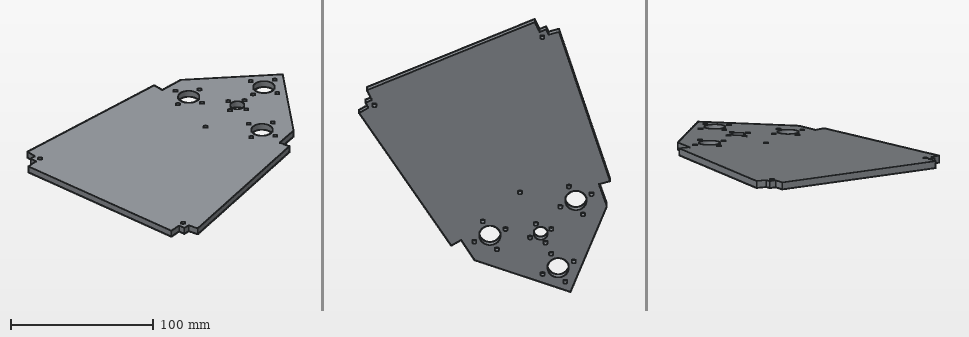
import cadquery as cq

length = 204.0
thickness = 5.0
half_width = 77.3

base_half_width = 64.9
step_half_width = 69.8
step_y = 8.5
wide_corner_y = 14.0
upper_corner_half_width = 61.4
upper_corner_y = 136.0
notch_depth = 8.2
shoulder_half_width = 51.2
shoulder_y = 153.2

side_taper = (half_width - upper_corner_half_width) / (upper_corner_y - wide_corner_y)
notch_half_width = upper_corner_half_width - notch_depth
notch_y = upper_corner_y - notch_depth * side_taper
ledge_y = wide_corner_y - (half_width - step_half_width) * side_taper

screw_diameter = 3.0
large_bore_diameter = 15.0
large_screw_offset = 12.0
small_bore_diameter = 10.0
small_screw_offset = 8.2
top_bore_y = 183.0
side_bore_x = 33.2
side_bore_y = 140.0
small_bore_y = shoulder_y
centre_screw_y = 118.0
corner_screw_x = base_half_width
corner_screw_y = 13.0


def make_plate():
    """Extrude the symmetric outline."""
    right_side = [
        (base_half_width, 0),
        (base_half_width, step_y),
        (step_half_width, step_y),
        (step_half_width, ledge_y),
        (half_width, wide_corner_y),
        (upper_corner_half_width, upper_corner_y),
        (notch_half_width, notch_y),
        (shoulder_half_width, shoulder_y),
    ]
    left_side = [(-x, y) for x, y in reversed(right_side)]
    outline = right_side + [(0, length)] + left_side
    return cq.Workplane("XY").polyline(outline).close().extrude(thickness)


def drill(body, centres, diameter):
    """Cut through holes at the given centres."""
    cutter = cq.Workplane("XY").pushPoints(centres).circle(diameter / 2).extrude(thickness)
    return body.cut(cutter)


def screws_around(centre, offset):
    """Four screw centres above, below and beside a bore."""
    x, y = centre
    return [(x - offset, y), (x + offset, y), (x, y - offset), (x, y + offset)]


large_bores = [(0, top_bore_y), (-side_bore_x, side_bore_y), (side_bore_x, side_bore_y)]
small_bore = (0, small_bore_y)

screws = [
    (0, centre_screw_y),
    (-corner_screw_x, corner_screw_y),
    (corner_screw_x, corner_screw_y),
]
screws += screws_around(small_bore, small_screw_offset)
for bore in large_bores:
    screws += screws_around(bore, large_screw_offset)

result = make_plate()
result = drill(result, large_bores, large_bore_diameter)
result = drill(result, [small_bore], small_bore_diameter)
result = drill(result, screws, screw_diameter)